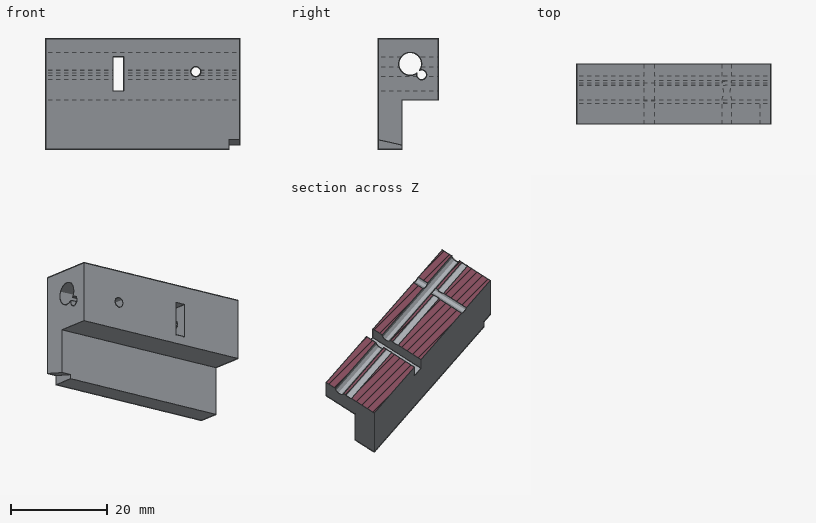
import cadquery as cq

length = 40.15
depth = 12.45
height = 22.9

wall_thickness = 5.0
wall_height = 10.2

main_bore_diameter = 4.7
main_bore_y = 6.63
main_bore_z = 17.67
small_hole_diameter = 2.0
side_bore_y = 9.0
side_bore_z = 15.43

slot_left = 13.98
slot_width = 2.15
slot_bottom = 12.1
slot_height = 7.03
cross_hole_x = 31.05
cross_hole_z = 16.05

notch_length = 2.25
notch_front_height = 2.0
notch_back_height = 0.9


def bore_along_length(diameter, y, z):
    return cq.Workplane("YZ").center(y, z).circle(diameter / 2).extrude(length)


body = (
    cq.Workplane("YZ")
    .polyline([
        (0, 0),
        (wall_thickness, 0),
        (wall_thickness, wall_height),
        (depth, wall_height),
        (depth, height),
        (0, height),
    ])
    .close()
    .extrude(length)
)

main_bore = bore_along_length(main_bore_diameter, main_bore_y, main_bore_z)
side_bore = bore_along_length(small_hole_diameter, side_bore_y, side_bore_z)

slot = cq.Workplane("XY").box(slot_width, depth, slot_height, centered=False)
slot = slot.translate((slot_left, 0, slot_bottom))

cross_hole = (
    cq.Workplane("XZ")
    .center(cross_hole_x, cross_hole_z)
    .circle(small_hole_diameter / 2)
    .extrude(-depth)
)

notch = (
    cq.Workplane("YZ", origin=(length - notch_length, 0, 0))
    .polyline([
        (0, 0),
        (wall_thickness, 0),
        (wall_thickness, notch_back_height),
        (0, notch_front_height),
    ])
    .close()
    .extrude(notch_length)
)

result = body.cut(main_bore).cut(side_bore).cut(slot).cut(cross_hole).cut(notch)